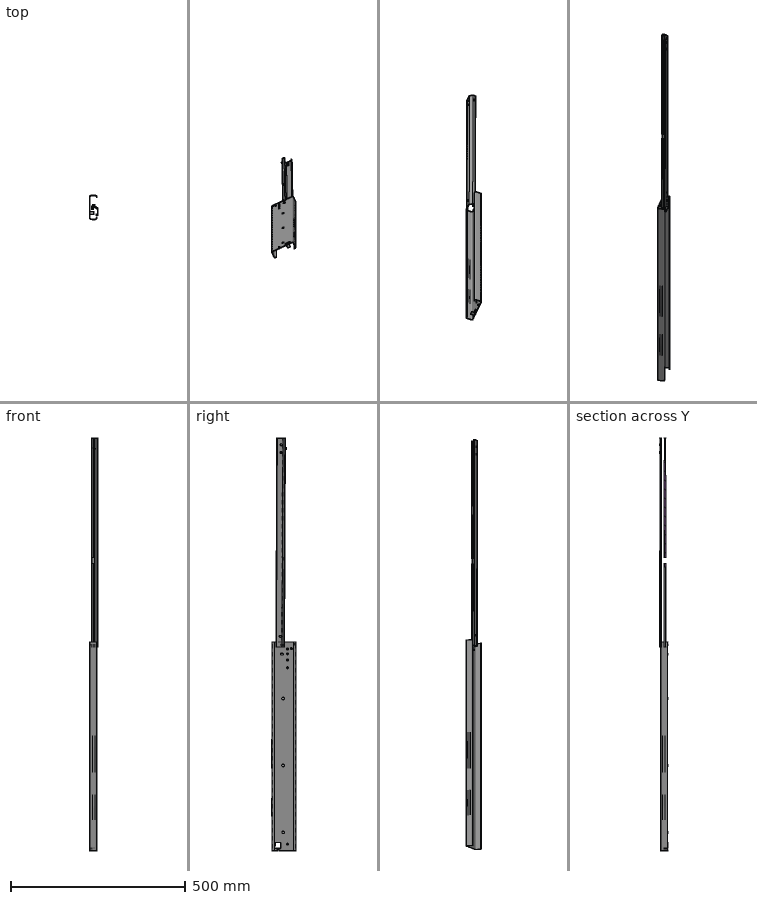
import cadquery as cq
import math


overall_depth = 24.0
overall_width = 70.8
overall_height = 1184.98
sheet = 1.8

housing_length = 600.0
housing_depth = 21.0
corner_radius = 4.0
lip_length = 7.0
bump_height = 1.4
housing_top_y = overall_width / 2
housing_bottom_y = -overall_width / 2 + bump_height

flange_bumps = [(226.0, 262.0, 298.0, 330.0), (90.0, 122.0, 129.0, 161.0)]
bump_start_x = 8.0
bump_end_x = 15.0

mounting_hole_diameter = 6.5
mounting_hole_y = -1.8
mounting_hole_first_z = 53.5
mounting_hole_spacing = 192.0
mounting_hole_count = 3
small_hole_diameter = 4.5
small_hole_y = 10.7
small_hole_heights = [19.5, 526.0, 548.0, 566.0, 580.0]
side_holes = [(22.0, 581.0), (31.0, 593.0)]
slot_hole_length = 7.0
slot_hole_width = 4.5
slot_hole_y = -5.4
slot_hole_heights = [565.0, 592.0]

window_low_y = -23.0
window_high_y = -9.0
window_low_z = 8.0
window_high_z = 24.0
window_corner_y = -26.0
window_corner_z = 14.0
tab_reach_x = 12.0
tab_low_y = -20.0
tab_high_y = -11.0
foot_notch_y = -16.0
foot_notch_width = 4.0
foot_notch_height = 3.0

rail_start_z = housing_length - 15.0
rail_width = 25.0
rail_tilt = -0.25
rail_center_y = -8.93
rail_back_x = 5.5
hook_return_x = 10.5
hook_depth = 8.5
slant_top_x = 14.0
slant_drop = 6.0
wall_lip_x = 19.5

tilt_angle = math.radians(rail_tilt)
rail_rise = overall_height - rail_start_z
rail_length = (rail_rise - rail_width * math.sin(abs(tilt_angle))) / math.cos(tilt_angle)

rail_hole_diameter = 5.0
rail_hole_drops = [19.0, 41.0, 569.0]
notch_top_drop = 343.0
notch_height = 16.0
pin_drop = 30.0
pin_diameter = 6.0
pin_center_x = 12.0
pin_height = 3.5


def box_between(low, high):
    """Axis-aligned box between two opposite corners."""
    size = [b - a for a, b in zip(low, high)]
    return cq.Workplane("XY").box(*size, centered=False).translate(low)


def rounded_tube(inset, radius):
    """Full-length bar with the housing's outline, inset all round."""
    return (
        box_between(
            (inset, housing_bottom_y + inset, 0),
            (housing_depth - inset, housing_top_y - inset, housing_length),
        )
        .edges("|Z")
        .fillet(radius)
    )


def web_cutter(shape_on_web):
    """Extrude a sketch lying on the outer face of the web far enough to pass through it."""
    return shape_on_web.extrude(2 * sheet, both=True)


def flange_bump(heights, inward_shift):
    """Trapezoidal ridge on the lower flange, shifted inward for its hollow side."""
    low_foot, low_shoulder, high_shoulder, high_foot = heights
    foot_y = housing_bottom_y + inward_shift
    crest_y = foot_y - bump_height
    root_y = foot_y + sheet / 2
    outline = [
        (root_y, low_foot),
        (foot_y, low_foot),
        (crest_y, low_shoulder),
        (crest_y, high_shoulder),
        (foot_y, high_foot),
        (root_y, high_foot),
    ]
    ridge = cq.Workplane("YZ").polyline(outline).close().extrude(bump_end_x - bump_start_x)
    return ridge.translate((bump_start_x, 0, 0))


def make_housing():
    body = rounded_tube(0, corner_radius).cut(rounded_tube(sheet, corner_radius - sheet))
    opening = box_between(
        (housing_depth - 2 * sheet, housing_bottom_y + lip_length, 0),
        (housing_depth + sheet, housing_top_y - lip_length, housing_length),
    )
    body = body.cut(opening)

    for heights in flange_bumps:
        body = body.union(flange_bump(heights, 0)).cut(flange_bump(heights, sheet))

    web = cq.Workplane("YZ")
    mounting_holes = [
        (mounting_hole_y, mounting_hole_first_z + i * mounting_hole_spacing)
        for i in range(mounting_hole_count)
    ]
    small_holes = [(small_hole_y, z) for z in small_hole_heights] + side_holes
    slots = [(slot_hole_y, z) for z in slot_hole_heights]
    body = body.cut(web_cutter(web.pushPoints(mounting_holes).circle(mounting_hole_diameter / 2)))
    body = body.cut(web_cutter(web.pushPoints(small_holes).circle(small_hole_diameter / 2)))
    body = body.cut(web_cutter(web.pushPoints(slots).slot2D(slot_hole_length, slot_hole_width)))

    window = box_between((0, window_low_y, window_low_z), (sheet, window_high_y, window_high_z))
    window_corner = box_between(
        (0, window_corner_y, window_low_z), (sheet, window_low_y, window_corner_z)
    )
    foot_notch = box_between(
        (0, foot_notch_y - foot_notch_width / 2, 0),
        (sheet, foot_notch_y + foot_notch_width / 2, foot_notch_height),
    )
    tab = box_between((0, tab_low_y, window_low_z - sheet), (tab_reach_x, tab_high_y, window_low_z))
    return body.cut(window).cut(window_corner).cut(foot_notch).union(tab)


def rail_section():
    """Centre line of the folded rail sheet thickened into a closed outline."""
    half = sheet / 2
    top_y = rail_center_y + rail_width / 2 - half
    bottom_y = rail_center_y - rail_width / 2 + half
    back_x = rail_back_x + half
    wall_x = overall_depth - half
    hook_end_y = top_y - hook_depth + sheet
    path = [
        (hook_return_x, hook_end_y),
        (back_x, hook_end_y),
        (back_x, top_y),
        (slant_top_x, top_y),
        (wall_x, top_y - slant_drop),
        (wall_x, bottom_y),
        (wall_lip_x, bottom_y),
    ]
    return cq.Workplane("XY").polyline(path).offset2D(half)


def make_rail():
    body = rail_section().extrude(rail_length)
    top_y = rail_center_y + rail_width / 2

    for drop in rail_hole_drops:
        hole = (
            cq.Workplane("YZ", origin=(overall_depth - 2 * sheet, rail_center_y, rail_length - drop))
            .circle(rail_hole_diameter / 2)
            .extrude(3 * sheet)
        )
        body = body.cut(hole)

    notch_top_z = rail_length - notch_top_drop
    hook_notch = box_between(
        (rail_back_x, top_y - hook_depth, notch_top_z - notch_height),
        (hook_return_x + sheet, top_y - hook_depth / 2, notch_top_z),
    )
    body = body.cut(hook_notch)

    pin = (
        cq.Workplane("XZ", origin=(pin_center_x, top_y - sheet / 2, rail_length - pin_drop))
        .circle(pin_diameter / 2)
        .extrude(-(pin_height + sheet / 2))
    )
    return body.union(pin)


def place_rail(body):
    """Tilt the rail about its own middle and stand it with its upper end at full height."""
    middle = (0, rail_center_y, rail_length / 2)
    along_x = (1, rail_center_y, rail_length / 2)
    tilted = body.rotate(middle, along_x, rail_tilt)
    lift = overall_height - tilted.val().BoundingBox().zmax
    return tilted.translate((0, 0, lift))


housing = make_housing()
rail = place_rail(make_rail())

result = cq.Compound.makeCompound([housing.solids().val(), rail.solids().val()])